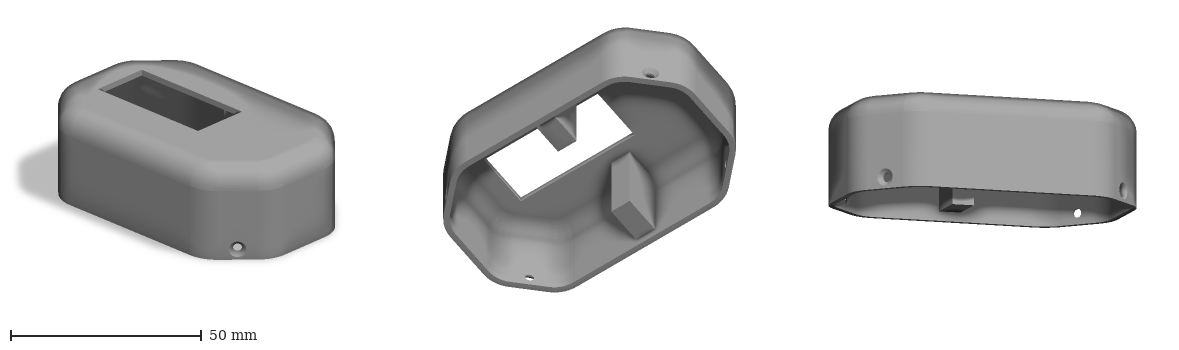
import cadquery as cq
import math

LENGTH = 79.2
WIDTH = 50.0
HEIGHT = 26.0
WALL = 1.7

CORNER_CUT = 13.4
CORNER_RADIUS = 10.0
TOP_FILLET = 6.0

WINDOW_LENGTH = 36.75
WINDOW_WIDTH = 16.55
WINDOW_CENTER_X = -9.75

POST_LENGTH = 5.95
POST_CENTER_X = 1.4
POST_INNER_Y = 11.95
POST_BOTTOM_Z = 2.5

HOLE_DIAMETER = 2.4
COUNTERSINK_DIAMETER = 4.5
COUNTERSINK_ANGLE = 90.0
HOLE_Z = 3.0


def rounded_body(inset):
    """Solid cover body, with its sides and top moved inward by the inset."""
    return (
        cq.Workplane("XY")
        .rect(LENGTH - 2 * inset, WIDTH - 2 * inset)
        .extrude(HEIGHT - inset)
        .edges("|Z")
        .chamfer(CORNER_CUT - inset * (2 - math.sqrt(2)))
        .edges("|Z")
        .fillet(CORNER_RADIUS - inset)
        .faces(">Z")
        .edges()
        .fillet(TOP_FILLET - inset)
    )


def post(side):
    """Post from the top down, on the +Y (side = 1) or -Y (side = -1) wall."""
    depth = WIDTH / 2 - POST_INNER_Y
    return (
        cq.Workplane("XY", origin=(POST_CENTER_X, side * (POST_INNER_Y + depth / 2), POST_BOTTOM_Z))
        .rect(POST_LENGTH, depth)
        .extrude(HEIGHT - POST_BOTTOM_Z)
    )


def screw_hole(side_x, side_y):
    """Cutter for a countersunk hole, square to one slanted corner face."""
    face_center = cq.Vector(
        side_x * (LENGTH - CORNER_CUT) / 2,
        side_y * (WIDTH - CORNER_CUT) / 2,
        HOLE_Z,
    )
    inward = cq.Vector(-side_x, -side_y, 0)
    hole_radius = HOLE_DIAMETER / 2
    sink_radius = COUNTERSINK_DIAMETER / 2
    sink_depth = (sink_radius - hole_radius) / math.tan(math.radians(COUNTERSINK_ANGLE / 2))
    hole = cq.Solid.makeCylinder(hole_radius, 2 * WALL, face_center, inward)
    sink = cq.Solid.makeCone(sink_radius, hole_radius, sink_depth, face_center, inward)
    return hole.fuse(sink)


outer = rounded_body(0)
result = outer.cut(rounded_body(WALL))

for side in (1, -1):
    result = result.union(post(side).intersect(outer))

window = (
    cq.Workplane("XY", origin=(WINDOW_CENTER_X, 0, HEIGHT - 2 * WALL))
    .rect(WINDOW_LENGTH, WINDOW_WIDTH)
    .extrude(3 * WALL)
)
result = result.cut(window)

for side_x in (1, -1):
    for side_y in (1, -1):
        result = result.cut(cq.Workplane(obj=screw_hole(side_x, side_y)))